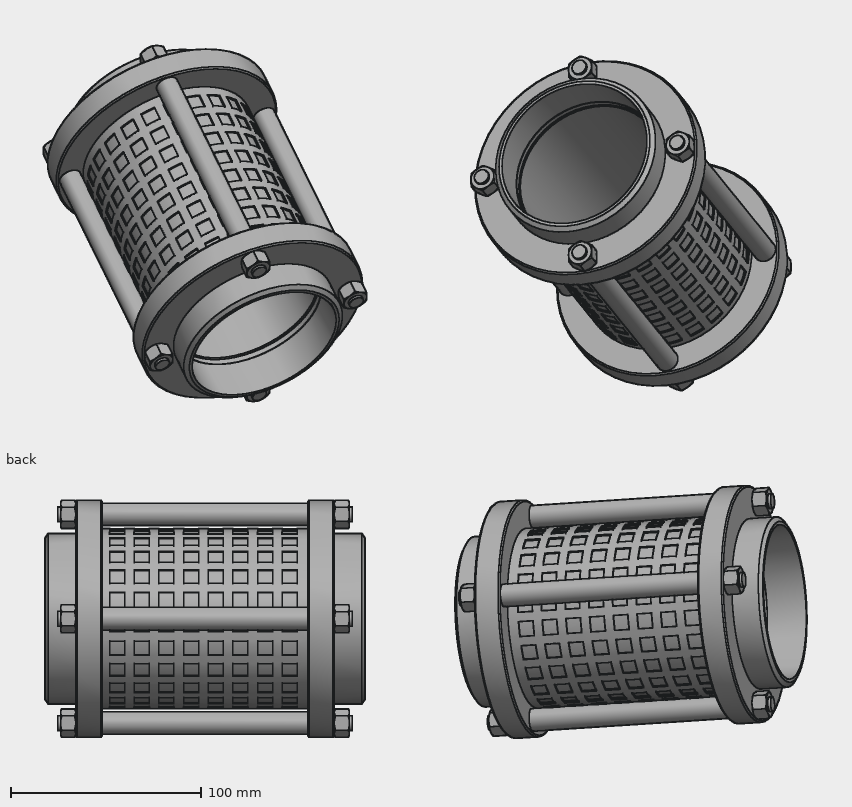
import cadquery as cq
import math

length = 168.5
flange_inner_x = 54.1
flange_thickness = 14.0
flange_outer_x = flange_inner_x + flange_thickness
flange_diameter = 125.0
flange_chamfer = 0.8

pipe_diameter = 90.0
pipe_bore = 81.5
bevel_length = 1.7
bevel_depth = 2.5
bore_depth = 21.2

glass_outer = 89.0
glass_bore = 80.0
glass_end_x = 59.0
glass_gap = 0.8
ring_bore = 81.0

sleeve_outer = 95.0
sleeve_inner = 93.3
window_rows = 23
window_columns = 8
window_pitch = 13.0
window_size = 8.0
window_shift = 0.8
window_turn = 0.5

rod_count = 4
rod_circle_radius = 55.0
spacer_diameter = 12.0
stud_diameter = 8.0
stud_end_x = 77.5
nut_across_flats = 13.0
nut_height = 8.0
nut_chamfer_angle = 30


def cylinder_x(diameter, x_start, x_end):
    """Solid cylinder on the X axis."""
    disc = cq.Workplane("YZ", origin=(x_start, 0, 0)).circle(diameter / 2)
    return disc.extrude(x_end - x_start)


def tube_x(outer, inner, x_start, x_end):
    """Hollow cylinder on the X axis."""
    return cylinder_x(outer, x_start, x_end).cut(cylinder_x(inner, x_start, x_end))


def revolve_x(profile):
    """Solid turned about the X axis from (x, radius) points."""
    return cq.Workplane("XY").polyline(profile).close().revolve(360, (0, 0, 0), (1, 0, 0))


def end_fitting():
    """Flange with a bevelled pipe stub, locating ring and glass socket at the +X end."""
    end_x = length / 2
    step_x = end_x - bore_depth
    profile = [
        (flange_inner_x, glass_outer / 2),
        (glass_end_x + glass_gap, glass_outer / 2),
        (glass_end_x + glass_gap, ring_bore / 2),
        (step_x, ring_bore / 2),
        (step_x, pipe_bore / 2),
        (end_x, pipe_bore / 2),
        (end_x, pipe_diameter / 2 - bevel_depth),
        (end_x - bevel_length, pipe_diameter / 2),
        (flange_outer_x, pipe_diameter / 2),
        (flange_outer_x, flange_diameter / 2 - flange_chamfer),
        (flange_outer_x - flange_chamfer, flange_diameter / 2),
        (flange_inner_x + flange_chamfer, flange_diameter / 2),
        (flange_inner_x, flange_diameter / 2 - flange_chamfer),
    ]
    return revolve_x(profile)


def perforated_sleeve():
    """Thin sleeve with evenly spaced rows of square windows cut right through its wall."""
    sleeve = tube_x(sleeve_outer, sleeve_inner, -flange_inner_x, flange_inner_x)
    window_row = (
        cq.Workplane("XY", origin=(window_shift, 0, glass_outer / 2))
        .rarray(window_pitch, 1.7, window_columns, 1)
        .rect(window_size, window_size)
        .extrude((flange_diameter - glass_outer) / 2)
    )
    cutters = []
    for index in range(window_rows):
        angle = window_turn + index * 360 / window_rows
        cutters.extend(window_row.rotate((0, 0, 0), (1, 0, 0), angle).vals())
    return sleeve.cut(cq.Compound.makeCompound(cutters))


def nut():
    """Hexagon nut on the X axis, against the +X flange, with its corners chamfered at both ends."""
    across_corners = nut_across_flats / math.cos(math.pi / 6)
    hexagon = (
        cq.Workplane("YZ", origin=(flange_outer_x, 0, 0))
        .polygon(6, across_corners)
        .extrude(nut_height)
        .rotate((0, 0, 0), (1, 0, 0), 90)
    )
    nut_end_x = flange_outer_x + nut_height
    half_height = nut_height / 2
    cone_radius = nut_across_flats / 2 + half_height / math.tan(math.radians(nut_chamfer_angle))
    double_cone = [
        (flange_outer_x, 0),
        (flange_outer_x, nut_across_flats / 2),
        (flange_outer_x + half_height, cone_radius),
        (nut_end_x, nut_across_flats / 2),
        (nut_end_x, 0),
    ]
    return hexagon.intersect(revolve_x(double_cone))


def tie_rod():
    """Spacer tube between the flanges with a stud and nut at each end."""
    rod = cylinder_x(stud_diameter, -stud_end_x, stud_end_x)
    rod = rod.union(cylinder_x(spacer_diameter, -flange_inner_x, flange_inner_x))
    rod = rod.union(nut()).union(nut().mirror("YZ"))
    return rod


fitting = end_fitting()
body = fitting.union(fitting.mirror("YZ"))
body = body.union(tube_x(glass_outer, glass_bore, -glass_end_x, glass_end_x))
body = body.union(perforated_sleeve())

rod = tie_rod()
for index in range(rod_count):
    angle = index * 2 * math.pi / rod_count
    offset = (0, rod_circle_radius * math.sin(angle), rod_circle_radius * math.cos(angle))
    body = body.union(rod.translate(offset))

result = body